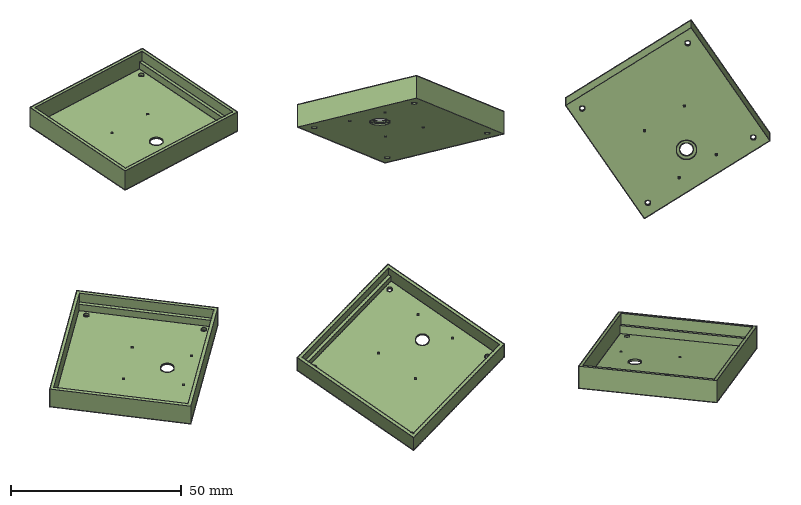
import cadquery as cq

length_x = 42.0
width_y = 44.0
height = 7.0
wall = 1.0
floor_thickness = 1.0

ledge_width = 1.0
ledge_height = 2.5

corner_hole_diameter = 1.6
corner_hole_x = 17.5
corner_hole_y = 18.5
pin_hole_diameter = 0.65
inner_pin_x = -1.75
inner_pin_y = 7.0
outer_pin_x = 16.0
outer_pin_y = 6.5
cable_hole_diameter = 4.0
cable_hole_x = 10.0
counterbore_diameter = 6.0
counterbore_depth = 0.5

cavity_x = length_x - 2 * wall
cavity_y = width_y - 2 * wall


def block(size_x, size_y, size_z, bottom_z, center_y=0):
    """Box centred on X = 0, standing on bottom_z."""
    base = cq.Workplane("XY", origin=(0, center_y, bottom_z))
    return base.box(size_x, size_y, size_z, centered=(True, True, False))


def floor_holes(points, diameter, depth=floor_thickness):
    """Cylinders rising from the underside of the floor, through it by default."""
    return cq.Workplane("XY").pushPoints(points).circle(diameter / 2).extrude(depth)


def mirrored_in_y(x, y):
    return [(x, -y), (x, y)]


tray = block(length_x, width_y, height, 0)
tray = tray.cut(block(cavity_x, cavity_y, height - floor_thickness, floor_thickness))

ledge_y = (cavity_y - ledge_width) / 2
for side in (-1, 1):
    tray = tray.union(block(cavity_x, ledge_width, ledge_height, floor_thickness, side * ledge_y))

corner_points = mirrored_in_y(-corner_hole_x, corner_hole_y) + mirrored_in_y(corner_hole_x, corner_hole_y)
tray = tray.cut(floor_holes(corner_points, corner_hole_diameter))

pin_points = mirrored_in_y(inner_pin_x, inner_pin_y) + mirrored_in_y(outer_pin_x, outer_pin_y)
tray = tray.cut(floor_holes(pin_points, pin_hole_diameter))
tray = tray.cut(floor_holes([(cable_hole_x, 0)], cable_hole_diameter))

tray = tray.cut(floor_holes([(cable_hole_x, 0)], counterbore_diameter, counterbore_depth))

result = tray